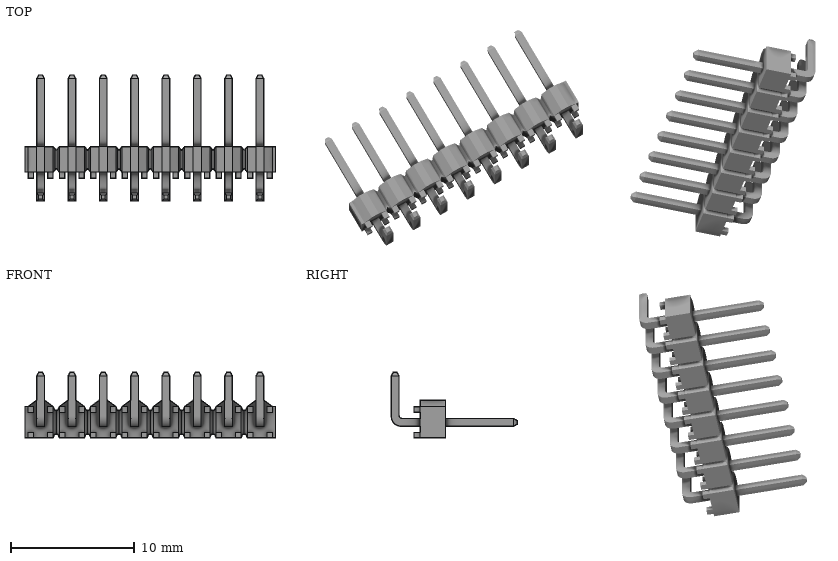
import cadquery as cq
import math

positions = 8
row_length = 20.32
pitch = row_length / positions

pin_width = pitch / 4
bend_inner_radius = 0.28
bend_outer_radius = 0.8
tip_length = 0.3
tip_inset = 0.16
pin_reach_y = 10.22
pin_top_z = 5.32
pin_bottom_z = 0.93

housing_front_y = 2.34
housing_depth = 2.07
housing_back_y = housing_front_y + housing_depth
housing_height = 3.05
shoulder_z = 2.55
block_half_width = 0.4 * pitch
roof_half_width = 0.33

groove_half_width = pitch / 2 - block_half_width
vee_depth = 0.28
trough_depth = 0.28
neck_half_width = 0.12

peg_size = 0.45
peg_length = 0.5
upper_peg_z = 2.07
peg_offset = block_half_width - peg_size / 2

pin_centers = [pitch * (i + 0.5) for i in range(positions)]
end_pin_centers = [pin_centers[0], pin_centers[-1]]
inner_pin_centers = pin_centers[1:-1]
groove_centers = [pitch * i for i in range(1, positions)]


def make_tip(base_center, normal):
    """Tapered square end cap standing on a pin end."""
    base = cq.Plane(origin=base_center, xDir=(1, 0, 0), normal=normal)
    tip_taper = math.degrees(math.atan2(tip_inset, tip_length))
    return cq.Workplane(base).rect(pin_width, pin_width).extrude(tip_length, taper=tip_taper)


def make_pin(center_x):
    """Bent square pin: the tail rises at y = 0, the contact points toward +Y."""
    bar_top_z = pin_bottom_z + pin_width
    tail_end_z = pin_top_z - tip_length
    contact_end_y = pin_reach_y - tip_length
    arc_mid_inset = 1 - math.sqrt(0.5)
    outer_mid = bend_outer_radius * arc_mid_inset
    inner_mid = bend_inner_radius * arc_mid_inset
    wire = (
        cq.Workplane("YZ", origin=(center_x - pin_width / 2, 0, 0))
        .moveTo(0, tail_end_z)
        .lineTo(0, pin_bottom_z + bend_outer_radius)
        .threePointArc((outer_mid, pin_bottom_z + outer_mid), (bend_outer_radius, pin_bottom_z))
        .lineTo(contact_end_y, pin_bottom_z)
        .lineTo(contact_end_y, bar_top_z)
        .lineTo(pin_width + bend_inner_radius, bar_top_z)
        .threePointArc(
            (pin_width + inner_mid, bar_top_z + inner_mid),
            (pin_width, bar_top_z + bend_inner_radius),
        )
        .lineTo(pin_width, tail_end_z)
        .close()
        .extrude(pin_width)
    )
    tail_tip = make_tip((center_x, pin_width / 2, tail_end_z), (0, 0, 1))
    contact_tip = make_tip((center_x, contact_end_y, pin_bottom_z + pin_width / 2), (0, 1, 0))
    return wire.union(tail_tip).union(contact_tip)


def make_body():
    """Solid strip with a roof over every position."""
    body = cq.Workplane("XY").box(row_length, housing_depth, shoulder_z, centered=False)
    body = body.translate((0, housing_front_y, 0))
    for center_x in pin_centers:
        roof = (
            cq.Workplane("XZ", origin=(center_x, housing_back_y, 0))
            .moveTo(-block_half_width, shoulder_z)
            .lineTo(-roof_half_width, housing_height)
            .lineTo(roof_half_width, housing_height)
            .lineTo(block_half_width, shoulder_z)
            .close()
            .extrude(housing_depth)
        )
        body = body.union(roof)
    return body


def cut_groove(body, center_x):
    """V-grooves front and back, flat-bottomed grooves above and below."""
    for face_y, inward in ((housing_front_y, 1), (housing_back_y, -1)):
        vee = (
            cq.Workplane("XY", origin=(center_x, face_y, 0))
            .moveTo(-groove_half_width, 0)
            .lineTo(groove_half_width, 0)
            .lineTo(0, inward * vee_depth)
            .close()
            .extrude(shoulder_z)
        )
        body = body.cut(vee)
    for face_z, inward in ((0, 1), (shoulder_z, -1)):
        trough = (
            cq.Workplane("XZ", origin=(center_x, housing_back_y, face_z))
            .moveTo(-groove_half_width, 0)
            .lineTo(groove_half_width, 0)
            .lineTo(neck_half_width, inward * trough_depth)
            .lineTo(-neck_half_width, inward * trough_depth)
            .close()
            .extrude(housing_depth)
        )
        body = body.cut(trough)
    return body


def add_pegs(body):
    """Four square standoff pegs around every pin."""
    for center_x in pin_centers:
        for side in (-1, 1):
            for bottom_z in (0, upper_peg_z):
                peg = cq.Workplane("XY").box(peg_size, peg_length, peg_size, centered=(True, False, False))
                peg_x = center_x + side * peg_offset
                body = body.union(peg.translate((peg_x, housing_front_y - peg_length, bottom_z)))
    return body


housing = make_body()
for x in groove_centers:
    housing = cut_groove(housing, x)
housing = add_pegs(housing)
for x in inner_pin_centers:
    housing = housing.union(make_pin(x))

end_pins = [make_pin(x) for x in end_pin_centers]
for pin in end_pins:
    housing = housing.cut(pin)

result = cq.Compound.makeCompound([housing.val(), *[pin.val() for pin in end_pins]])